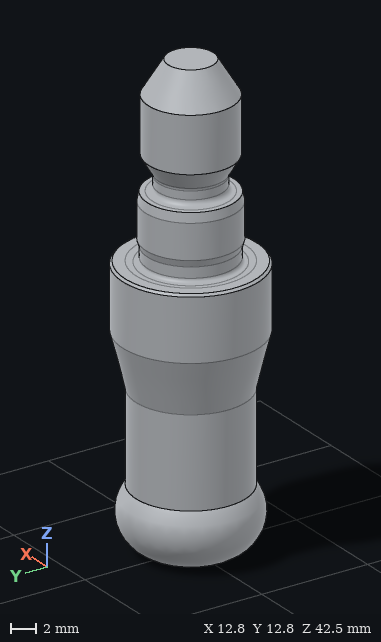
import cadquery as cq
import math

TIP_RADIUS = 4.25 / 2
NOSE_RADIUS = 8.0 / 2
GROOVE_RADIUS = 6.0 / 2
COLLAR_RADIUS = 8.5 / 2
COLLAR_LIP_RADIUS = 4.1
NECK_RADIUS = 8.1 / 2
BODY_RADIUS = 12.8 / 2
RELIEF_RADIUS = 10.33 / 2
SHANK_RADIUS = 10.33 / 2

TOP_Z = 42.5
NOSE_TOP_Z = 39.45
NOSE_BOTTOM_Z = 34.3
COLLAR_LIP_Z = 31.05
COLLAR_TOP_Z = 30.2
COLLAR_BOTTOM_Z = 27.0
NECK_TOP_Z = 26.35
SHOULDER_Z = 25.05
BODY_BOTTOM_Z = 19.1
SHANK_TOP_Z = 14.05

GROOVE_CONE_ANGLE = math.radians(30)
GROOVE_BLEND = 0.5
GROOVE_FILLET = 0.6
RELIEF_FILLET = 0.42
RELIEF_ANGLE = math.radians(8)
SHOULDER_CHAMFER = 0.2

FOOT_RADIUS = 12.0 / 2
FOOT_RIM = 3.5
FOOT_BASE_RADIUS = FOOT_RADIUS - FOOT_RIM
FOOT_TOP_Z = FOOT_RIM + math.sqrt(FOOT_RIM**2 - (SHANK_RADIUS - FOOT_BASE_RADIUS)**2)


def arc_point(center_r, center_z, radius, angle):
    """Point (r, z) on a circle, with the angle measured from outward +r."""
    return (center_r + radius * math.cos(angle), center_z + radius * math.sin(angle))


def make_pin():
    blend_center_r = GROOVE_RADIUS + GROOVE_BLEND
    cone_end_r = blend_center_r - GROOVE_BLEND * math.cos(GROOVE_CONE_ANGLE)
    cone_end_z = NOSE_BOTTOM_Z - (NOSE_RADIUS - cone_end_r) / math.tan(GROOVE_CONE_ANGLE)
    blend_end_z = cone_end_z - GROOVE_BLEND * math.sin(GROOVE_CONE_ANGLE)
    blend_middle = arc_point(blend_center_r, blend_end_z, GROOVE_BLEND, math.pi - GROOVE_CONE_ANGLE / 2)

    fillet_center_r = GROOVE_RADIUS + GROOVE_FILLET
    fillet_center_z = COLLAR_LIP_Z + GROOVE_FILLET
    fillet_middle = arc_point(fillet_center_r, fillet_center_z, GROOVE_FILLET, math.radians(225))

    relief_center_r = NECK_RADIUS + RELIEF_FILLET
    relief_end_r = relief_center_r + RELIEF_FILLET * math.sin(RELIEF_ANGLE)
    relief_end_z = SHOULDER_Z - (RELIEF_RADIUS - relief_end_r) * math.tan(RELIEF_ANGLE)
    relief_center_z = relief_end_z + RELIEF_FILLET * math.cos(RELIEF_ANGLE)
    relief_middle = arc_point(relief_center_r, relief_center_z, RELIEF_FILLET, math.radians(225))

    return (
        cq.Workplane("XZ")
        .moveTo(0, TOP_Z)
        .lineTo(TIP_RADIUS, TOP_Z)
        .lineTo(NOSE_RADIUS, NOSE_TOP_Z)
        .lineTo(NOSE_RADIUS, NOSE_BOTTOM_Z)
        .lineTo(cone_end_r, cone_end_z)
        .threePointArc(blend_middle, (GROOVE_RADIUS, blend_end_z))
        .lineTo(GROOVE_RADIUS, fillet_center_z)
        .threePointArc(fillet_middle, (fillet_center_r, COLLAR_LIP_Z))
        .lineTo(COLLAR_LIP_RADIUS, COLLAR_LIP_Z)
        .lineTo(COLLAR_RADIUS, COLLAR_TOP_Z)
        .lineTo(COLLAR_RADIUS, COLLAR_BOTTOM_Z)
        .lineTo(NECK_RADIUS, NECK_TOP_Z)
        .lineTo(NECK_RADIUS, relief_center_z)
        .threePointArc(relief_middle, (relief_end_r, relief_end_z))
        .lineTo(RELIEF_RADIUS, SHOULDER_Z)
        .lineTo(BODY_RADIUS - SHOULDER_CHAMFER, SHOULDER_Z)
        .lineTo(BODY_RADIUS, SHOULDER_Z - SHOULDER_CHAMFER)
        .lineTo(BODY_RADIUS, BODY_BOTTOM_Z)
        .lineTo(SHANK_RADIUS, SHANK_TOP_Z)
        .lineTo(SHANK_RADIUS, FOOT_TOP_Z)
        .lineTo(0, FOOT_TOP_Z)
        .close()
        .revolve(360, (0, 0), (0, 1))
    )


def make_foot():
    return (
        cq.Workplane("XZ")
        .lineTo(FOOT_BASE_RADIUS, 0)
        .threePointArc((FOOT_RADIUS, FOOT_RIM), (SHANK_RADIUS, FOOT_TOP_Z))
        .lineTo(0, FOOT_TOP_Z)
        .close()
        .revolve(360, (0, 0), (0, 1))
    )


pin = make_pin()
foot = make_foot()
result = cq.Compound.makeCompound([pin.val(), foot.val()])